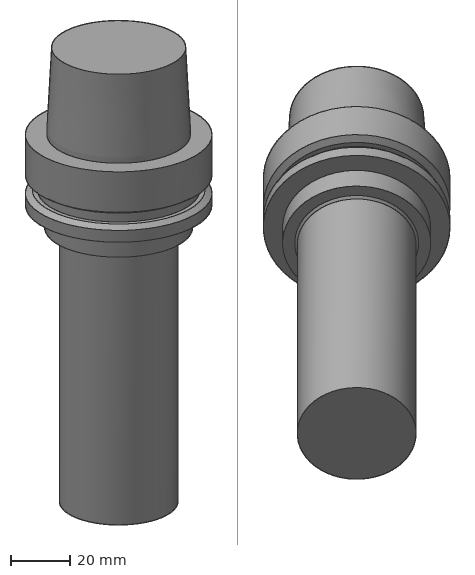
import cadquery as cq

total_height = 167.0
flange_top = 135.0
flange_bottom = 109.0
collar_bottom = 100.7
taper_band_height = 2.0
taper_bottom = flange_top + taper_band_height

shank_radius = 40.0 / 2
collar_radius = 50.0 / 2
flange_radius = 63.0 / 2
groove_radius = 55.0 / 2
taper_base_radius = 48.5 / 2
taper_top_radius = 45.3 / 2

groove_top = 118.7
groove_bottom = 114.7
rim_chamfer_height = 1.3
rim_chamfer_width = 2.3
rim_chamfer_radius = flange_radius - rim_chamfer_width

neck_chamfer = 0.8

shank = [
    (0, 0),
    (shank_radius, 0),
    (shank_radius, collar_bottom - neck_chamfer),
    (shank_radius + neck_chamfer, collar_bottom),
]
collar = [
    (collar_radius, collar_bottom),
    (collar_radius, flange_bottom),
]
flange = [
    (flange_radius, flange_bottom),
    (flange_radius, groove_bottom - rim_chamfer_height),
    (rim_chamfer_radius, groove_bottom),
    (groove_radius, groove_bottom),
    (groove_radius, groove_top),
    (rim_chamfer_radius, groove_top),
    (flange_radius, groove_top + rim_chamfer_height),
    (flange_radius, flange_top),
]
taper = [
    (taper_base_radius, flange_top),
    (taper_base_radius, taper_bottom),
    (taper_top_radius, total_height),
    (0, total_height),
]

result = (
    cq.Workplane("XZ")
    .polyline(shank + collar + flange + taper)
    .close()
    .revolve(360, (0, 0, 0), (0, 1, 0))
)